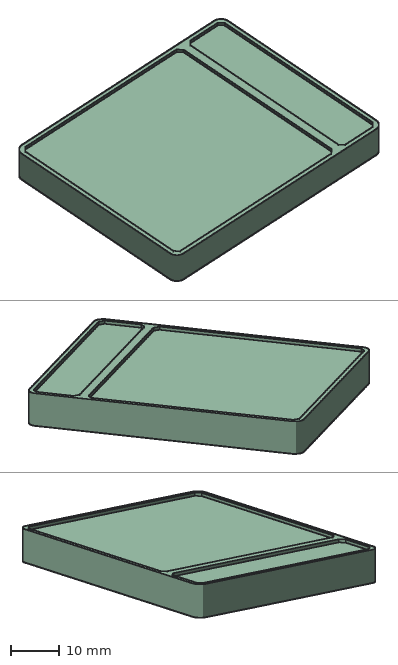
import cadquery as cq

width = 48.0
length = 60.0
height = 7.2
corner_radius = 2.0

rim = 1.0
divider = 2.0
small_recess_length = 10.0
recess_depth = 0.7
recess_corner_chamfer = 1.0

recess_width = width - 2 * rim
large_recess_length = length - 2 * rim - divider - small_recess_length
large_recess_front = -length / 2 + rim
small_recess_front = large_recess_front + large_recess_length + divider


def standing_block(size_x, size_y, size_z):
    """Block centred in X and Y, standing on Z = 0."""
    return cq.Workplane("XY").box(size_x, size_y, size_z, centered=(True, True, False))


def tray_body():
    """Plain slab with rounded vertical corners."""
    return standing_block(width, length, height).edges("|Z").fillet(corner_radius)


def recess(recess_length, front_y):
    """Cutter with chamfered corners that starts at front_y and opens through the top face."""
    cutter = standing_block(recess_width, recess_length, recess_depth)
    cutter = cutter.edges("|Z").chamfer(recess_corner_chamfer)
    return cutter.translate((0, front_y + recess_length / 2, height - recess_depth))


tray = tray_body()
tray = tray.cut(recess(large_recess_length, large_recess_front))
tray = tray.cut(recess(small_recess_length, small_recess_front))

result = tray